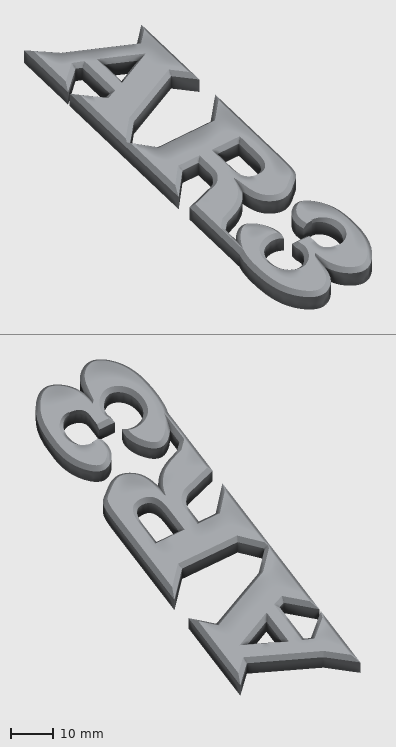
import cadquery as cq


THICKNESS = 5.0
CAP_HEIGHT = 28.0
BEVEL_DEPTH = 1.0
BEVEL_WIDTH = 1.1
BEVEL_START = THICKNESS - BEVEL_DEPTH

A_CENTER = 20.8
A_TOP_HALF = 11.9
A_WAIST_HALF = 7.0
A_WAIST_HEIGHT = 23.2
A_KNEE_HALF = 14.9
A_KNEE_HEIGHT = 6.7
A_RIGHT_TIP = 43.0
A_FOOT_GAP_LEFT = 18.1
A_FOOT_GAP_RIGHT = 18.8
A_OPENING_CENTER = 18.6
A_INNER_KNEE_HALF = 6.2
A_INNER_KNEE_HEIGHT = 6.2
A_CROSSBAR_HALF = 5.5
A_CROSSBAR_BOTTOM = 7.8
A_CROSSBAR_TOP = 12.7
A_WINDOW_HALF = 3.5
A_WINDOW_APEX = 20.0

R_FOOT_LEFT = 39.3
R_FOOT_RIGHT = 63.3
R_STEM_LEFT = 46.2
R_STEM_RIGHT = 56.3
R_LOWER_KNEE_HEIGHT = 6.1
R_UPPER_KNEE_HEIGHT = 21.5
R_TOP_LEFT = 39.1
R_BOWL_START = 67.7
R_BOWL_RIGHT = 78.1
R_CROTCH = (70.5, 13.4)
R_WINDOW_BOTTOM = 16.3
R_WINDOW_TOP = 22.5
R_WINDOW_ROUND_START = 62.6
R_WINDOW_RIGHT = 67.6
R_LEG_ARCH_TOP = 10.8
R_LEG_ARCH_START = 60.9
R_LEG_BOTTOM = 67.7
TAIL_HEIGHT = 2.3
TAIL_START = 79.1
TAIL_END = 92.1

TERMINAL_X = 89.6
UPPER_TERMINAL_Y = 17.6
LOWER_TERMINAL_Y = 11.9
TONGUE_LEFT = 92.2
TONGUE_ROOT = 96.5
TONGUE_TOP = 16.6
TONGUE_BOTTOM = 12.3
WAIST_POINT = (103.4, 14.0)
COUNTER_X = 94.4
COUNTER_Y = 20.4
COUNTER_HALF_WIDTH = 5.2
COUNTER_RISE = 3.7
FLARE_SIDE = 0.2
FLARE_RISE = 1.2

BOWL_ROOT = (64.9, 13.0)
LEG_ROOT = (66.6, 14.9)
ARCH_ROOT_X = 58.8
UPPER_LOBE_ROOT = (98.2, 13.3)
LOWER_LOBE_ROOT = (98.2, 15.1)
LOBE_START = (91.6, 18.1)
LOBE_START_TOP = (91.6, 21.1)


def plate(outline):
    """Close an outline and extrude it to the full thickness."""
    return outline.close().extrude(THICKNESS)


def bevel(body, square_edges=()):
    """Bevel the top rim, leaving square the straight edges given by their two end points."""
    rim = body.faces(">Z").edges()
    square = []
    for (x1, y1), (x2, y2) in square_edges:
        middle = ((x1 + x2) / 2, (y1 + y2) / 2, THICKNESS)
        square.append(rim.edges(cq.NearestToPointSelector(middle)).val())
    bevelled = [edge for edge in rim.vals() if not any(edge.isSame(other) for other in square)]
    return cq.Workplane(body.val().chamfer(BEVEL_DEPTH, BEVEL_WIDTH, bevelled))


def bevel_window(body, window):
    """Cut a closed window through a body and bevel the window's top rim."""
    opened = body.cut(plate(window))
    rim = opened.faces(">Z").val().innerWires()[0].Edges()
    return cq.Workplane(opened.val().chamfer(BEVEL_DEPTH, BEVEL_WIDTH, rim))


def letter_a():
    outline = cq.Workplane().polyline(
        [
            (0, 0),
            (A_FOOT_GAP_LEFT, 0),
            (A_OPENING_CENTER - A_INNER_KNEE_HALF, A_INNER_KNEE_HEIGHT),
            (A_OPENING_CENTER - A_CROSSBAR_HALF, A_CROSSBAR_BOTTOM),
            (A_OPENING_CENTER + A_CROSSBAR_HALF, A_CROSSBAR_BOTTOM),
            (A_OPENING_CENTER + A_INNER_KNEE_HALF, A_INNER_KNEE_HEIGHT),
            (A_FOOT_GAP_RIGHT, 0),
            (A_RIGHT_TIP, 0),
            (A_CENTER + A_KNEE_HALF, A_KNEE_HEIGHT),
            (A_CENTER + A_WAIST_HALF, A_WAIST_HEIGHT),
            (A_CENTER + A_TOP_HALF, CAP_HEIGHT),
            (A_CENTER - A_TOP_HALF, CAP_HEIGHT),
            (A_CENTER - A_WAIST_HALF, A_WAIST_HEIGHT),
            (A_CENTER - A_KNEE_HALF, A_KNEE_HEIGHT),
        ]
    )
    window = cq.Workplane().polyline(
        [
            (A_OPENING_CENTER - A_WINDOW_HALF, A_CROSSBAR_TOP),
            (A_OPENING_CENTER + A_WINDOW_HALF, A_CROSSBAR_TOP),
            (A_OPENING_CENTER, A_WINDOW_APEX),
        ]
    )
    return bevel_window(bevel(plate(outline)), window)


def r_stem_and_bowl():
    arch_start = (R_LEG_ARCH_START, R_LEG_ARCH_TOP)
    outline = (
        cq.Workplane()
        .moveTo(R_FOOT_LEFT, 0)
        .lineTo(R_FOOT_RIGHT, 0)
        .lineTo(R_STEM_RIGHT, R_LOWER_KNEE_HEIGHT)
        .lineTo(R_STEM_RIGHT, R_LEG_ARCH_TOP)
        .lineTo(*arch_start)
        .lineTo(*BOWL_ROOT)
        .spline(
            [R_CROTCH, (75.9, 15.4), (R_BOWL_RIGHT, 20.3), (75.0, 25.4), (R_BOWL_START, CAP_HEIGHT)],
            tangents=[(1, 0), (-1, 0)],
            includeCurrent=True,
        )
        .lineTo(R_TOP_LEFT, CAP_HEIGHT)
        .lineTo(R_STEM_LEFT, R_UPPER_KNEE_HEIGHT)
        .lineTo(R_STEM_LEFT, R_LOWER_KNEE_HEIGHT)
    )
    window_middle = (R_WINDOW_BOTTOM + R_WINDOW_TOP) / 2
    window = (
        cq.Workplane()
        .moveTo(R_STEM_RIGHT, R_WINDOW_BOTTOM)
        .lineTo(R_WINDOW_ROUND_START, R_WINDOW_BOTTOM)
        .spline(
            [(R_WINDOW_RIGHT, window_middle), (R_WINDOW_ROUND_START, R_WINDOW_TOP)],
            tangents=[(1, 0), (-1, 0)],
            includeCurrent=True,
        )
        .lineTo(R_STEM_RIGHT, R_WINDOW_TOP)
    )
    return bevel_window(bevel(plate(outline), [(arch_start, BOWL_ROOT)]), window)


def r_leg_and_tail():
    arch_root = (ARCH_ROOT_X, R_LEG_ARCH_TOP)
    tail_corner = (TAIL_END, TAIL_HEIGHT)
    outline = (
        cq.Workplane()
        .moveTo(*arch_root)
        .lineTo(R_LEG_ARCH_START, R_LEG_ARCH_TOP)
        .spline([(63.5, 9.9), (64.8, 8.2)], tangents=[(1, 0), (1, -2.9)], includeCurrent=True)
        .lineTo(R_LEG_BOTTOM, 0)
        .lineTo(TAIL_END, 0)
        .lineTo(*tail_corner)
        .lineTo(TAIL_START, TAIL_HEIGHT)
        .lineTo(77.2, 4.1)
        .spline([(75.6, 8.0), (73.5, 11.1), R_CROTCH, LEG_ROOT], includeCurrent=True)
    )
    return bevel(plate(outline), [(LEG_ROOT, arch_root), ((TAIL_END, 0), tail_corner)])


def counter_arch(half_width, rise, height=0.0):
    """Half ellipse over the upper counter, drawn from right to left at the given height."""
    return (
        cq.Workplane(origin=(0, 0, height))
        .moveTo(COUNTER_X + half_width, COUNTER_Y)
        .ellipseArc(half_width, rise, 0, 180)
    )


def upper_counter():
    """Square-walled opening of the upper lobe, whose arched top alone flares out."""
    opening = (
        counter_arch(COUNTER_HALF_WIDTH, COUNTER_RISE)
        .lineTo(TERMINAL_X, UPPER_TERMINAL_Y)
        .lineTo(TERMINAL_X, TONGUE_TOP)
        .lineTo(TONGUE_ROOT, TONGUE_TOP)
        .spline(
            [(98.8, 17.5), (COUNTER_X + COUNTER_HALF_WIDTH, COUNTER_Y)],
            tangents=[(1, 0), (0, 1)],
            includeCurrent=True,
        )
    )
    low = counter_arch(COUNTER_HALF_WIDTH, COUNTER_RISE, BEVEL_START).close().val()
    high = counter_arch(COUNTER_HALF_WIDTH + FLARE_SIDE, COUNTER_RISE + FLARE_RISE, THICKNESS).close().val()
    flare = cq.Workplane(cq.Solid.makeLoft([low, high], True))
    return plate(opening).union(flare)


def upper_lobe():
    tongue_root = (TONGUE_ROOT, TONGUE_TOP)
    outline = (
        cq.Workplane()
        .moveTo(*LOBE_START)
        .spline(
            [
                (TERMINAL_X, UPPER_TERMINAL_Y),
                (87.2, 17.3),
                (83.1, 18.8),
                (81.2, 21.8),
                (84.6, 26.4),
                (94.8, 28.7),
                (105.4, 26.3),
                (109.9, 20.6),
                (107.9, 16.5),
                WAIST_POINT,
                UPPER_LOBE_ROOT,
            ],
            includeCurrent=True,
        )
        .lineTo(*tongue_root)
        .lineTo(*LOBE_START_TOP)
    )
    hidden_edges = [
        (UPPER_LOBE_ROOT, tongue_root),
        (tongue_root, LOBE_START_TOP),
        (LOBE_START_TOP, LOBE_START),
    ]
    return bevel(plate(outline), hidden_edges).cut(upper_counter())


def lower_lobe_and_tongue():
    tongue_corner = (TONGUE_LEFT, TONGUE_TOP)
    tongue_root = (TONGUE_ROOT, TONGUE_TOP)
    outline = (
        cq.Workplane()
        .moveTo(*LOWER_LOBE_ROOT)
        .spline(
            [
                WAIST_POINT,
                (108.8, 11.9),
                (111.0, 8.0),
                (107.7, 2.5),
                (95.9, -0.8),
                (84.3, 1.7),
                (80.1, 7.0),
                (83.5, 11.0),
                (TERMINAL_X, LOWER_TERMINAL_Y),
            ],
            includeCurrent=True,
        )
        .spline(
            [
                (88.8, 8.5),
                (90.6, 5.4),
                (94.8, 4.3),
                (98.8, 5.9),
                (100.1, 8.9),
                (98.2, 11.7),
                (94.1, TONGUE_BOTTOM),
            ],
            includeCurrent=True,
        )
        .lineTo(TONGUE_LEFT, TONGUE_BOTTOM)
        .lineTo(*tongue_corner)
        .lineTo(*tongue_root)
    )
    return bevel(plate(outline), [(tongue_corner, tongue_root), (tongue_root, LOWER_LOBE_ROOT)])


def letter_r_and_numeral(neighbour):
    """R and 3 joined by the tail of the R, notched at the left foot to receive the tip of the A."""
    letter = r_stem_and_bowl().union(r_leg_and_tail())
    numeral = upper_lobe().union(lower_lobe_and_tongue())
    return letter.union(numeral).cut(neighbour)


a_body = letter_a()
r3_body = letter_r_and_numeral(a_body)

result = cq.Compound.makeCompound([*a_body.solids().vals(), *r3_body.solids().vals()])